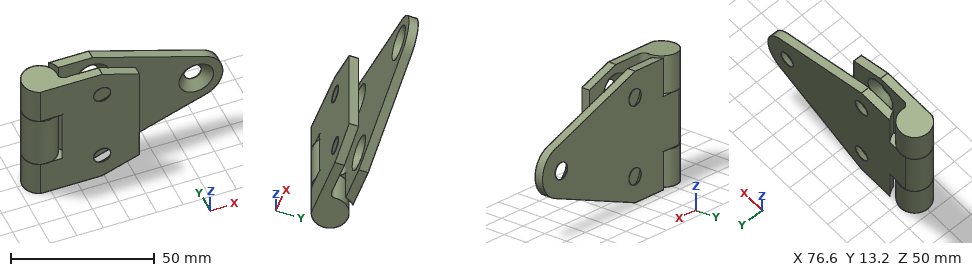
import cadquery as cq
import math


pin_diameter = 6.0
knuckle_radius = 6.6
hinge_height = 50.0
middle_knuckle_height = 21.0
knuckle_gap = 0.2
clearance_radius = knuckle_radius + 2.0
neck_fillet_radius = 2.0

leaf_thickness = 3.5
leaf_inner_offset = 2.7
leaf_outer_offset = leaf_inner_offset + leaf_thickness
taper_start_x = 21.0
short_leaf_end_x = 35.0
tip_center_x = 60.0
tip_radius = 10.0

screw_diameter = 6.4
countersink_diameter = 13.0
countersink_angle = 90.0
side_hole_x = taper_start_x
side_hole_z = 15.0

half_height = hinge_height / 2
middle_half_height = middle_knuckle_height / 2
outer_knuckle_start = middle_half_height + knuckle_gap


def z_cylinder(radius, bottom, top):
    """Cylinder about the pin axis between two heights."""
    return cq.Workplane("XY").workplane(offset=bottom).circle(radius).extrude(top - bottom)


def leaf_plate():
    """Long tapered leaf on the +Y side, from the pin axis to the rounded tip."""
    run = tip_center_x - taper_start_x
    distance = math.hypot(run, half_height)
    tangent_angle = math.atan2(half_height, -run) - math.acos(tip_radius / distance)
    tangent_x = tip_center_x + tip_radius * math.cos(tangent_angle)
    tangent_z = tip_radius * math.sin(tangent_angle)
    return (
        cq.Workplane("XZ", origin=(0, leaf_outer_offset, 0))
        .moveTo(0, -half_height)
        .lineTo(taper_start_x, -half_height)
        .lineTo(tangent_x, -tangent_z)
        .threePointArc((tip_center_x + tip_radius, 0), (tangent_x, tangent_z))
        .lineTo(taper_start_x, half_height)
        .lineTo(0, half_height)
        .close()
        .extrude(leaf_thickness)
    )


def barrel():
    """Full-height barrel: round, cut flat by the outer leaf face, filleted into the inner one."""
    flat_x = math.sqrt(knuckle_radius**2 - leaf_outer_offset**2)
    fillet_y = leaf_inner_offset - neck_fillet_radius
    fillet_distance = knuckle_radius + neck_fillet_radius
    fillet_x = math.sqrt(fillet_distance**2 - fillet_y**2)
    fillet_angle = math.atan2(fillet_y, fillet_x)
    barrel_touch = (knuckle_radius * math.cos(fillet_angle), knuckle_radius * math.sin(fillet_angle))
    middle_angle = (math.pi / 2 + math.pi + fillet_angle) / 2
    fillet_middle = (
        fillet_x + neck_fillet_radius * math.cos(middle_angle),
        fillet_y + neck_fillet_radius * math.sin(middle_angle),
    )
    return (
        cq.Workplane("XY", origin=(0, 0, -half_height))
        .moveTo(-flat_x, leaf_outer_offset)
        .threePointArc((0, -knuckle_radius), barrel_touch)
        .threePointArc(fillet_middle, (fillet_x, leaf_inner_offset))
        .lineTo(fillet_x, leaf_outer_offset)
        .close()
        .extrude(hinge_height)
    )


def drill_screw_hole(leaf, x, z):
    """Countersunk hole entered from the inner face of a leaf on the +Y side."""
    entry = cq.Workplane("XZ", origin=(x, leaf_inner_offset, z))
    depth = (countersink_diameter - screw_diameter) / 2 / math.tan(math.radians(countersink_angle / 2))
    bore = entry.circle(screw_diameter / 2).extrude(-leaf_thickness)
    cone = cq.Workplane(
        cq.Solid.makeCone(
            countersink_diameter / 2,
            screw_diameter / 2,
            depth,
            cq.Vector(x, leaf_inner_offset, z),
            cq.Vector(0, 1, 0),
        )
    )
    return leaf.cut(bore).cut(cone)


def drill_side_holes(leaf):
    for z in (-side_hole_z, side_hole_z):
        leaf = drill_screw_hole(leaf, side_hole_x, z)
    return leaf


def long_leaf():
    """Leaf with the middle knuckle, relieved around the two outer knuckles."""
    leaf = drill_side_holes(leaf_plate().union(barrel()))
    leaf = drill_screw_hole(leaf, tip_center_x, 0)
    leaf = leaf.cut(z_cylinder(clearance_radius, middle_half_height, half_height))
    return leaf.cut(z_cylinder(clearance_radius, -half_height, -middle_half_height))


def short_leaf():
    """Straight-ended leaf with the outer knuckles, relieved around the middle knuckle."""
    beyond_end = cq.Workplane("XY").box(
        tip_center_x, 2 * knuckle_radius, hinge_height, centered=(False, True, True)
    )
    leaf = drill_side_holes(leaf_plate().union(barrel()))
    leaf = leaf.cut(beyond_end.translate((short_leaf_end_x, 0, 0)))
    leaf = leaf.cut(z_cylinder(clearance_radius, -outer_knuckle_start, outer_knuckle_start))
    return leaf.mirror("XZ")


pin = z_cylinder(pin_diameter / 2, -half_height, half_height)
result = long_leaf().union(short_leaf()).union(pin)